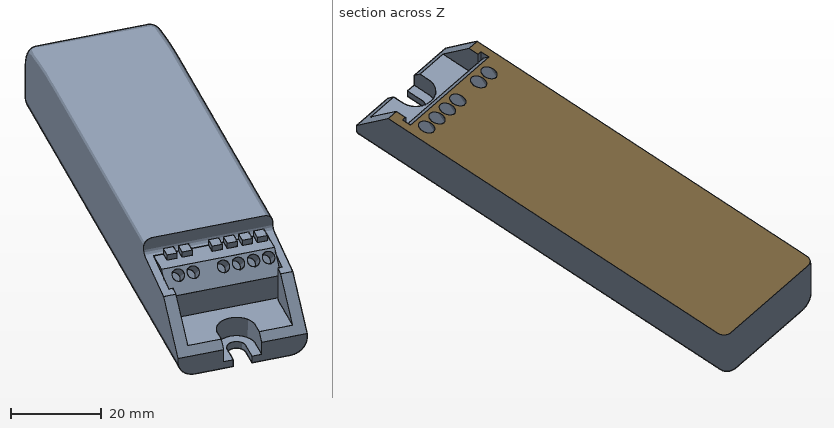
import cadquery as cq
import math

length = 107.7
width = 30.0
height = 21.2
bottom_radius = 4.0
edge_radius = 2.0
nose_radius = 8.0
nose_start_z = 12.3
crown_end_x = 19.8

step_x = 83.8
step_root_z = 17.3
step_fillet = 1.6
break_x = 97.7
break_z = 15.1

pocket_floor_z = 6.8
pocket_start_x = 85.1
pocket_neck_x = 95.7
pocket_wide = 26.3
pocket_narrow = 24.3

block_end_x = 95.1
block_top_z = 17.2
block_slope_x = 90.6
first_terminal_y = 11.3
last_terminal_y = -9.7
terminal_slots = (0, 1, 2, 3, 5, 6)
terminal_pitch = (first_terminal_y - last_terminal_y) / terminal_slots[-1]
button_length = 2.6
button_width = 2.4
button_height = 1.4
wire_hole_diameter = 2.8
wire_hole_x = 92.0
wire_hole_depth = 4.3

slot_center_x = 103.4
slot_radius = 2.2
seat_radius = 4.4
seat_z = 1.8


def extrude_across(sketch, depth):
    """Extrude an XZ outline symmetrically about the middle plane."""
    return sketch.extrude(depth / 2, both=True)


def block_from_to(x0, x1, y_size, z0, z1):
    """Box between two X and two Z planes, centred on Y = 0."""
    box = cq.Workplane("XY").box(x1 - x0, y_size, z1 - z0, centered=(False, True, False))
    return box.translate((x0, 0, z0))


def make_shell():
    center_dx = crown_end_x - nose_radius
    nose_rise = height - nose_start_z
    crown_radius = (center_dx**2 + nose_rise**2 - nose_radius**2) / (2 * (nose_rise - nose_radius))
    joint_angle = math.asin(center_dx / (crown_radius - nose_radius))

    def nose_point(angle):
        return (
            nose_radius * (1 - math.sin(angle)),
            nose_start_z + nose_radius * math.cos(angle),
        )

    def crown_point(angle):
        return (
            crown_end_x - crown_radius * math.sin(angle),
            height - crown_radius * (1 - math.cos(angle)),
        )

    outline = (
        cq.Workplane("XZ")
        .lineTo(0, nose_start_z)
        .threePointArc(nose_point((math.pi / 2 + joint_angle) / 2), nose_point(joint_angle))
        .threePointArc(crown_point(joint_angle / 2), (crown_end_x, height))
        .lineTo(length, height)
        .lineTo(length, 0)
        .close()
    )
    shell = extrude_across(outline, width)
    shell = shell.edges("|X and <Z").fillet(bottom_radius)
    return shell.faces("<X or >Z").edges("|X or |Z or (<X and <Z)").fillet(edge_radius)


def make_tail_cutter():
    end_z = break_z - (length - break_x)
    outline = (
        cq.Workplane("XZ")
        .moveTo(step_x, height)
        .lineTo(step_x, step_root_z)
        .lineTo(break_x, break_z)
        .lineTo(length, end_z)
        .lineTo(length, height)
        .close()
    )
    cutter = extrude_across(outline, width)
    return cutter.edges("|Y and <X").edges("<Z").fillet(step_fillet)


def make_pocket():
    wide = block_from_to(pocket_start_x, pocket_neck_x, pocket_wide, pocket_floor_z, height)
    narrow = block_from_to(pocket_neck_x, length, pocket_narrow, pocket_floor_z, height)
    return wide.union(narrow)


def make_terminal_block():
    slope_run = block_end_x - block_slope_x
    outline = (
        cq.Workplane("XZ")
        .moveTo(pocket_start_x, pocket_floor_z)
        .lineTo(pocket_start_x, block_top_z)
        .lineTo(block_slope_x, block_top_z)
        .lineTo(block_end_x, block_top_z - slope_run)
        .lineTo(block_end_x, pocket_floor_z)
        .close()
    )
    block = extrude_across(outline, pocket_wide)
    wire_hole_z = block_top_z - (wire_hole_x - block_slope_x)
    for slot in terminal_slots:
        y = first_terminal_y - slot * terminal_pitch
        button = block_from_to(
            pocket_start_x,
            pocket_start_x + button_length,
            button_width,
            block_top_z,
            block_top_z + button_height,
        )
        block = block.union(button.translate((0, y, 0)))
        hole = cq.Solid.makeCylinder(
            wire_hole_diameter / 2,
            wire_hole_depth,
            cq.Vector(wire_hole_x, y, wire_hole_z),
            cq.Vector(-1, 0, -1),
        )
        block = block.cut(cq.Workplane(obj=hole))
    return block


def make_open_slot(radius, z0):
    """U-shaped cutter, open at the tail end."""
    rounded = cq.Workplane("XY").circle(radius).extrude(height - z0).translate((slot_center_x, 0, z0))
    return rounded.union(block_from_to(slot_center_x, length, 2 * radius, z0, height))


result = (
    make_shell()
    .cut(make_tail_cutter())
    .cut(make_pocket())
    .union(make_terminal_block())
    .cut(make_open_slot(seat_radius, seat_z))
    .cut(make_open_slot(slot_radius, 0))
)